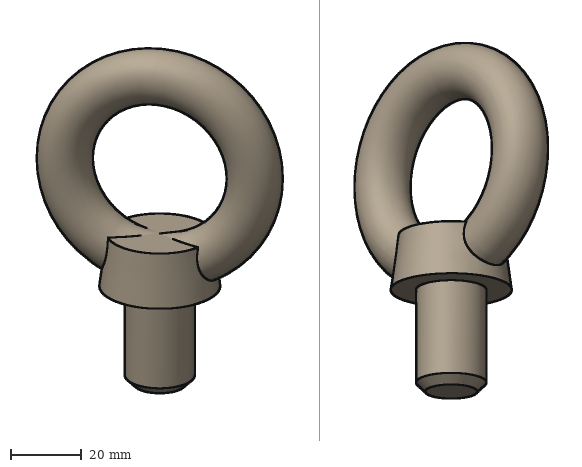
import cadquery as cq

shank_diameter = 20.0
shank_length = 30.0
tip_chamfer = 2.7

collar_base_diameter = 34.4
collar_top_diameter = 30.0

ring_outer_diameter = 72.0
ring_inner_diameter = 40.0
ring_wire_diameter = (ring_outer_diameter - ring_inner_diameter) / 2
ring_center_radius = (ring_outer_diameter - ring_wire_diameter) / 2

collar_height = ring_wire_diameter
ring_center_height = ring_outer_diameter / 2


def make_shank():
    """Plain cylindrical shank with a chamfered tip."""
    shank = cq.Workplane("XY").circle(shank_diameter / 2).extrude(-shank_length)
    return shank.faces("<Z").chamfer(tip_chamfer)


def make_collar():
    """Conical collar, narrowing towards the ring."""
    return cq.Workplane(
        cq.Solid.makeCone(collar_base_diameter / 2, collar_top_diameter / 2, collar_height)
    )


def make_ring():
    """Round-wire ring standing in the XZ plane."""
    return cq.Workplane(
        cq.Solid.makeTorus(
            ring_center_radius,
            ring_wire_diameter / 2,
            cq.Vector(0, 0, ring_center_height),
            cq.Vector(0, 1, 0),
        )
    )


result = make_collar().union(make_shank()).union(make_ring())